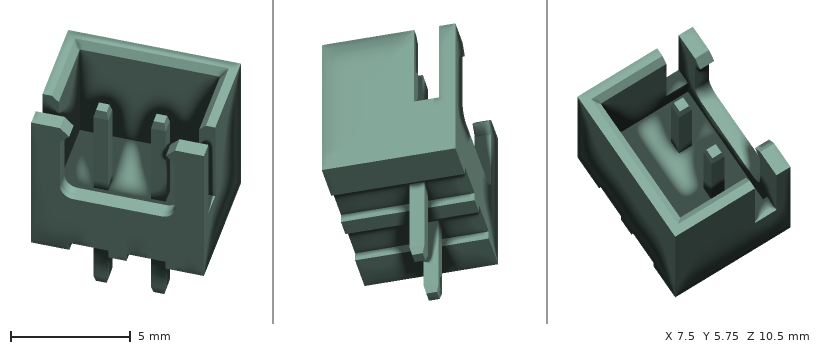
import cadquery as cq


width = 7.5
depth = 5.75
top = 10.5
shroud_height = 7.0
shroud_bottom = top - shroud_height
wall = 0.7
floor_depth = 5.0
lead_in = 0.29

opening_depth = 4.0
side_slot_width = 1.07
window_half_width = 2.5
window_radius = 0.6
barb_reach = 0.4
barb_tip_depth = 0.41
barb_depth = 0.81

foot_height = 0.4
center_foot_half_width = 0.39
notch_outer_x = 2.09

pin_pitch = 2.5
pin_size = 0.64
pin_y = 2.19
pin_top = top - 0.51
pin_taper = 0.37
pin_tip_size = 0.46


def block(x_min, x_max, y_min, y_max, z_min, z_max):
    """Box given by its limits along each axis."""
    size = (x_max - x_min, y_max - y_min, z_max - z_min)
    return cq.Workplane("XY").box(*size, centered=False).translate((x_min, y_min, z_min))


def make_cavity():
    """Open-topped cavity that widens in a lead-in chamfer at the rim."""
    inner_x = width / 2 - wall
    inner_back = depth - wall
    cavity = block(-inner_x, inner_x, wall, inner_back, top - floor_depth, top)
    flare_center_y = (wall + inner_back) / 2
    flare = (
        cq.Workplane("XY", origin=(0, flare_center_y, top - lead_in))
        .rect(2 * inner_x, inner_back - wall)
        .workplane(offset=lead_in)
        .rect(2 * (inner_x + lead_in), inner_back - wall + 2 * lead_in)
        .loft(ruled=True)
    )
    behind_front_wall = block(-width, width, wall, depth, shroud_bottom, top)
    return cavity.union(flare.intersect(behind_front_wall))


def make_window():
    """Front opening with rounded lower corners and a latching barb on each side."""
    opening_bottom = top - opening_depth
    barb_x = window_half_width - barb_reach
    window = (
        block(-window_half_width, window_half_width, 0, wall, opening_bottom, top)
        .edges("|Y and <Z")
        .fillet(window_radius)
    )
    for side in (-1, 1):
        barb = (
            cq.Workplane("XZ")
            .moveTo(side * window_half_width, top)
            .lineTo(side * barb_x, top - barb_tip_depth)
            .lineTo(side * window_half_width, top - barb_depth)
            .close()
            .extrude(-wall)
        )
        window = window.cut(barb)
    return window


def make_foot_notch(side):
    """Channel under the shroud, from front to back, on one side of the center foot."""
    x_min, x_max = sorted((side * center_foot_half_width, side * notch_outer_x))
    return block(x_min, x_max, 0, depth, shroud_bottom, shroud_bottom + foot_height)


def make_pin(x):
    """Square pin with a tapered tip at each end."""
    pin = block(
        x - pin_size / 2, x + pin_size / 2,
        pin_y - pin_size / 2, pin_y + pin_size / 2,
        pin_taper, pin_top - pin_taper,
    )
    for base_z, tip_z in ((pin_top - pin_taper, pin_top), (pin_taper, 0)):
        tip = (
            cq.Workplane("XY", origin=(x, pin_y, base_z))
            .rect(pin_size, pin_size)
            .workplane(offset=tip_z - base_z)
            .rect(pin_tip_size, pin_tip_size)
            .loft(ruled=True)
        )
        pin = pin.union(tip)
    return pin


result = block(-width / 2, width / 2, 0, depth, shroud_bottom, top)
result = result.cut(make_cavity())
result = result.cut(
    block(-width / 2, width / 2, wall, wall + side_slot_width, top - opening_depth, top)
)
result = result.cut(make_window())
for side in (-1, 1):
    result = result.cut(make_foot_notch(side))
for side in (-1, 1):
    result = result.union(make_pin(side * pin_pitch / 2))